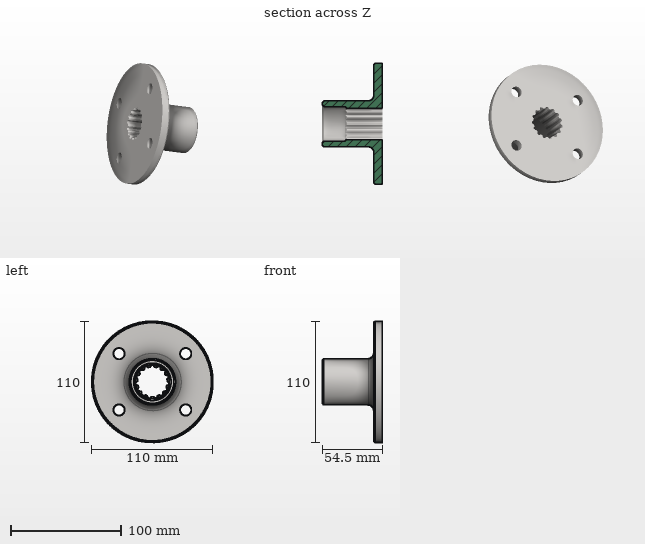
import cadquery as cq
import math

total_length = 54.5
flange_thickness = 8.0
flange_radius = 55.0
hub_radius = 21.0
edge_chamfer = 1.5
hub_fillet = 5.0

bore_radius = 15.5
spline_length = 34.0
spline_root_radius = 15.1
spline_tip_radius = 13.4
tooth_count = 15
tooth_tip_width = 1.6
tooth_flank_angle = 45.0
first_tooth_angle = -90.0
lead_in_angle = 45.0

hole_diameter = 10.0
hole_spacing_y = 60.4
hole_spacing_z = 51.0

flange_face = total_length - flange_thickness
spline_start = total_length - spline_length


def make_body():
    """Flanged hub revolved about X, with chamfered outer edges and a filleted hub root."""
    fillet_end_radius = hub_radius + hub_fillet
    fillet_reach = hub_fillet * (1 - math.sqrt(0.5))
    profile = (
        cq.Workplane("XY")
        .moveTo(0, 0)
        .lineTo(0, hub_radius - edge_chamfer)
        .lineTo(edge_chamfer, hub_radius)
        .lineTo(flange_face - hub_fillet, hub_radius)
        .threePointArc(
            (flange_face - fillet_reach, hub_radius + fillet_reach),
            (flange_face, fillet_end_radius),
        )
        .lineTo(flange_face, flange_radius - edge_chamfer)
        .lineTo(flange_face + edge_chamfer, flange_radius)
        .lineTo(total_length, flange_radius)
        .lineTo(total_length, 0)
        .close()
    )
    return profile.revolve(360, (0, 0, 0), (1, 0, 0))


def make_bore():
    """Smooth bore with a chamfered mouth and a conical floor that bevels the tooth ends."""
    cone_length = bore_radius / math.tan(math.radians(lead_in_angle))
    profile = (
        cq.Workplane("XY")
        .moveTo(0, 0)
        .lineTo(0, bore_radius + edge_chamfer)
        .lineTo(edge_chamfer, bore_radius)
        .lineTo(spline_start, bore_radius)
        .lineTo(spline_start + cone_length, 0)
        .close()
    )
    return profile.revolve(360, (0, 0, 0), (1, 0, 0))


def make_tooth(angle):
    """One spline tooth with straight flanks, widening outward into the hub wall."""
    tip_half_width = tooth_tip_width / 2
    tooth_height = bore_radius - spline_tip_radius
    base_half_width = tip_half_width + tooth_height * math.tan(math.radians(tooth_flank_angle))
    tooth = (
        cq.Workplane("YZ", origin=(spline_start, 0, 0))
        .polyline([
            (spline_tip_radius, -tip_half_width),
            (bore_radius, -base_half_width),
            (bore_radius, base_half_width),
            (spline_tip_radius, tip_half_width),
        ])
        .close()
        .extrude(spline_length)
    )
    return tooth.rotate((0, 0, 0), (1, 0, 0), angle)


def make_spline_opening():
    """Space inside the spline: a round hole at the root radius, less the teeth."""
    opening = (
        cq.Workplane("YZ", origin=(spline_start, 0, 0))
        .circle(spline_root_radius)
        .extrude(spline_length)
    )
    for index in range(tooth_count):
        opening = opening.cut(make_tooth(first_tooth_angle + index * 360 / tooth_count))
    return opening


def make_mounting_holes():
    """Four plain holes through the flange."""
    return (
        cq.Workplane("YZ", origin=(flange_face, 0, 0))
        .rect(hole_spacing_y, hole_spacing_z, forConstruction=True)
        .vertices()
        .circle(hole_diameter / 2)
        .extrude(flange_thickness)
    )


result = make_body().cut(make_bore()).cut(make_spline_opening()).cut(make_mounting_holes())